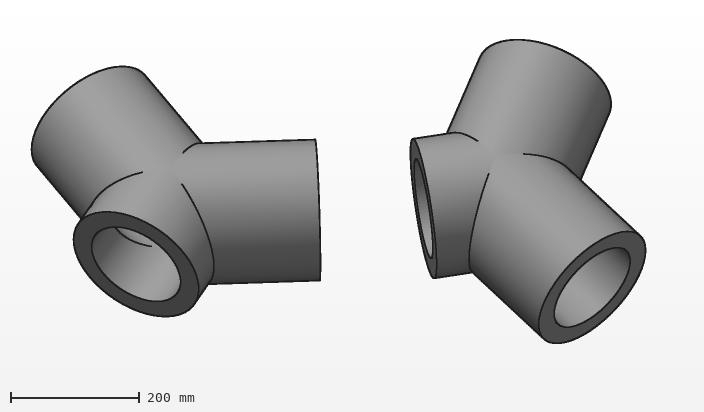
import cadquery as cq
import math

OUTER_DIAMETER = 219.075
BORE_DIAMETER = 155.575
BRANCH_LENGTH = 228.6
STEM_LENGTH = 114.3
BRANCH_RISE = 30

ARMS = [
    (BRANCH_RISE, BRANCH_LENGTH),
    (180 - BRANCH_RISE, BRANCH_LENGTH),
    (-90, STEM_LENGTH),
]


def arm_cylinder(diameter, direction, length):
    """Solid cylinder from the origin along a direction in the XY plane."""
    angle = math.radians(direction)
    axis = cq.Vector(math.cos(angle), math.sin(angle), 0)
    return cq.Workplane(cq.Solid.makeCylinder(diameter / 2, length, cq.Vector(0, 0, 0), axis))


def joined_arms(diameter):
    """All three arms fused at one diameter."""
    body = cq.Workplane()
    for direction, length in ARMS:
        body = body.add(arm_cylinder(diameter, direction, length))
    return body.combine()


result = joined_arms(OUTER_DIAMETER).cut(joined_arms(BORE_DIAMETER))